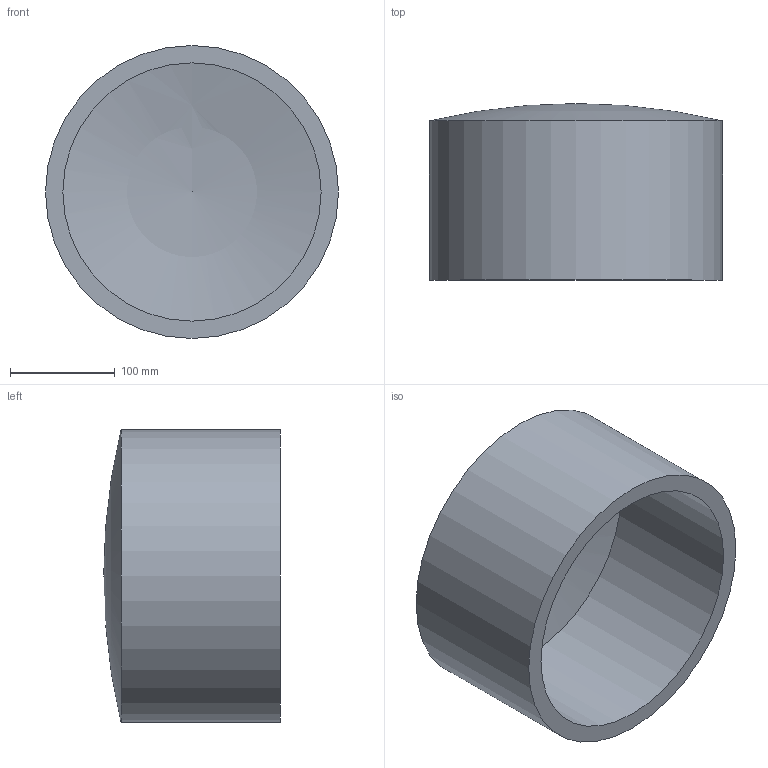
import cadquery as cq
import math

outer_diameter = 280.0
wall = 16.6
total_length = 168.73
outer_dome_radius = 600.0

outer_radius = outer_diameter / 2
inner_radius = outer_radius - wall
inner_dome_radius = outer_dome_radius - wall
dome_center_y = total_length - outer_dome_radius


def domed_cylinder(radius, dome_radius):
    """Solid cylinder along +Y from y = 0, closed by a shallow spherical dome."""

    def dome_y(distance_from_axis):
        return dome_center_y + math.sqrt(dome_radius**2 - distance_from_axis**2)

    arc_middle = (dome_y(radius / 2), radius / 2)
    profile = (
        cq.Workplane("YZ")
        .lineTo(0, radius)
        .lineTo(dome_y(radius), radius)
        .threePointArc(arc_middle, (dome_y(0), 0))
        .close()
    )
    return profile.revolve(360, (0, 0, 0), (1, 0, 0))


body = domed_cylinder(outer_radius, outer_dome_radius)
cavity = domed_cylinder(inner_radius, inner_dome_radius)

result = body.cut(cavity)